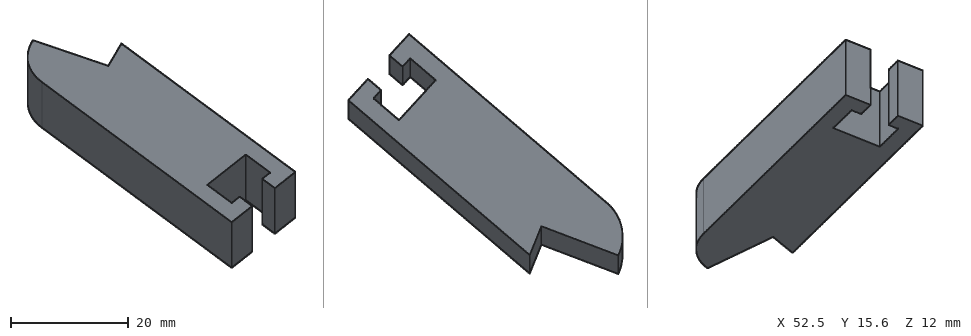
import cadquery as cq
import math

length = 52.5
width = 15.6
height = 12.0

nose_radius = width / 2
tip_y = 5.65
nose_center_x = math.sqrt(nose_radius**2 - (nose_radius - tip_y) ** 2)

notch_tilt = math.radians(20)
notch_corner_x = 13.2
notch_corner_y = tip_y + notch_corner_x * math.tan(notch_tilt)
notch_top_x = notch_corner_x - (width - notch_corner_y) * math.tan(notch_tilt)

slot_depth = 8.75
slot_width = 9.4
lip_thickness = 3.0
mouth_width = 5.5


def make_body():
    """Extruded outline with the rounded nose and the notch."""
    tip_angle = math.atan2(tip_y - nose_radius, -nose_center_x) + 2 * math.pi
    mid_angle = (tip_angle + 1.5 * math.pi) / 2
    arc_middle = (
        nose_center_x + nose_radius * math.cos(mid_angle),
        nose_radius + nose_radius * math.sin(mid_angle),
    )
    return (
        cq.Workplane("XY")
        .moveTo(nose_center_x, 0)
        .lineTo(length, 0)
        .lineTo(length, width)
        .lineTo(notch_top_x, width)
        .lineTo(notch_corner_x, notch_corner_y)
        .lineTo(0, tip_y)
        .threePointArc(arc_middle, (nose_center_x, 0))
        .close()
        .extrude(height)
    )


def make_channel(channel_depth, channel_width):
    """Full-height channel running in from the +X end."""
    return (
        cq.Workplane("XY")
        .center(length - channel_depth / 2, width / 2)
        .rect(channel_depth, channel_width)
        .extrude(height)
    )


mouth = make_channel(slot_depth, mouth_width)
cavity = make_channel(slot_depth, slot_width).cut(make_channel(lip_thickness, slot_width))

result = make_body().cut(cavity).cut(mouth)